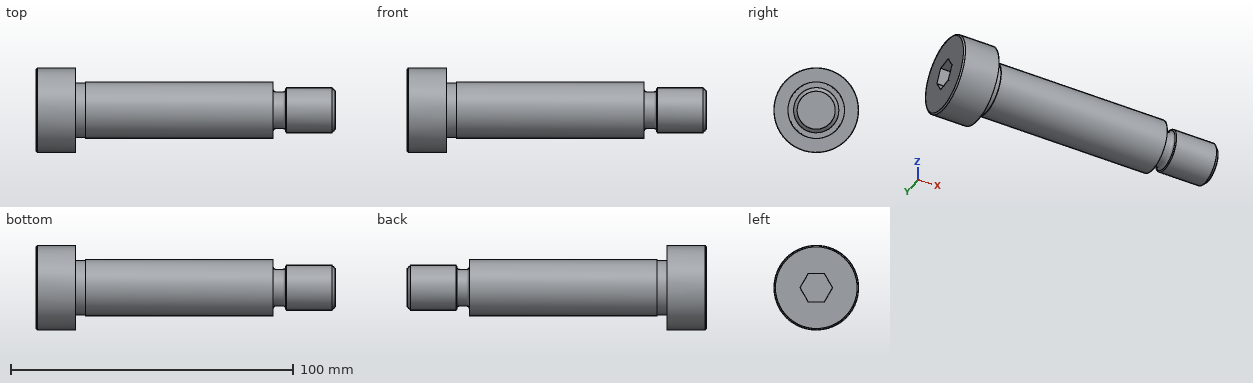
import cadquery as cq
import math

total_length = 106.0
head_diameter = 30.0
head_length = 14.0
head_chamfer = 0.5
neck_diameter = 19.4
neck_length = 3.5
shoulder_diameter = 20.0
shoulder_end = 84.0
undercut_diameter = 13.0
undercut_length = 4.5
undercut_fillet = 1.0
thread_diameter = 16.0
thread_lead_in = 0.3
tip_chamfer = 1.3
hex_across_flats = 10.0
hex_depth = 7.0

head_face = -total_length / 2
tip = total_length / 2
head_end = head_face + head_length
neck_end = head_end + neck_length
undercut_start = head_face + shoulder_end
undercut_end = undercut_start + undercut_length

head_radius = head_diameter / 2
neck_radius = neck_diameter / 2
shoulder_radius = shoulder_diameter / 2
undercut_radius = undercut_diameter / 2
thread_radius = thread_diameter / 2


def make_body():
    """Revolve the half profile of the screw about the X axis."""
    corner_offset = undercut_fillet * (1 - math.sqrt(0.5))
    profile = (
        cq.Workplane("XY")
        .moveTo(head_face, 0)
        .lineTo(head_face, head_radius - head_chamfer)
        .lineTo(head_face + head_chamfer, head_radius)
        .lineTo(head_end, head_radius)
        .lineTo(head_end, neck_radius)
        .lineTo(neck_end, neck_radius)
        .lineTo(neck_end, shoulder_radius)
        .lineTo(undercut_start, shoulder_radius)
        .lineTo(undercut_start, undercut_radius + undercut_fillet)
        .threePointArc(
            (undercut_start + corner_offset, undercut_radius + corner_offset),
            (undercut_start + undercut_fillet, undercut_radius),
        )
        .lineTo(undercut_end - undercut_fillet, undercut_radius)
        .threePointArc(
            (undercut_end - corner_offset, undercut_radius + corner_offset),
            (undercut_end, undercut_radius + undercut_fillet),
        )
        .lineTo(undercut_end + thread_lead_in, thread_radius)
        .lineTo(tip - tip_chamfer, thread_radius)
        .lineTo(tip, thread_radius - tip_chamfer)
        .lineTo(tip, 0)
        .close()
    )
    return profile.revolve(360, (0, 0, 0), (1, 0, 0))


def make_hex_socket():
    """Hexagonal drive recess with corners on the +Y and -Y sides."""
    across_corners = hex_across_flats / math.cos(math.pi / 6)
    return (
        cq.Workplane("YZ", origin=(head_face, 0, 0))
        .polygon(6, across_corners)
        .extrude(hex_depth)
    )


result = make_body().cut(make_hex_socket())